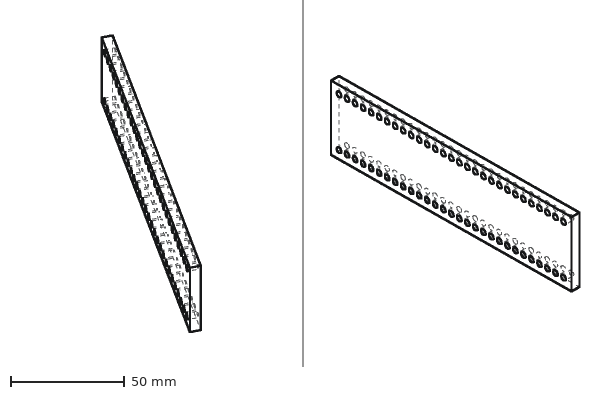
import cadquery as cq

length = 150.0
steps_along_length = 30
steps_along_height = 8
hole_diameter = 2.8

pitch = length / steps_along_length
height = steps_along_height * pitch
thickness = pitch

holes_per_row = steps_along_length - 1
row_spacing = height - 2 * pitch
row_count = 2

bar = cq.Workplane("XY").box(length, thickness, height)

result = (
    bar.faces("<Y")
    .workplane(centerOption="CenterOfBoundBox")
    .rarray(pitch, row_spacing, holes_per_row, row_count)
    .hole(hole_diameter)
)